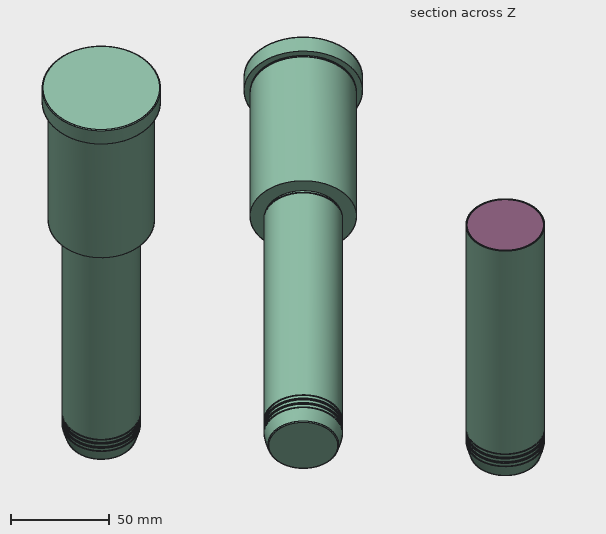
import cadquery as cq

total_length = 251.0
head_diameter = 60.0
head_height = 10.0
body_diameter = 54.0
body_length = 85.3
shank_diameter = 40.0

head_chamfer = 0.5
body_relief_depth = 0.3
body_relief_height = 1.0
shank_relief_depth = 0.5
shank_relief_height = 1.5

groove_count = 3
groove_pitch = 3.0
groove_height = 2.3
groove_depth = 0.5
nose_height = 8.3
nose_end_diameter = 36.0
nose_bulge = 0.3
end_chamfer = 0.5

head_bottom = total_length - head_height
body_bottom = head_bottom - body_length
shank_radius = shank_diameter / 2
nose_end_radius = nose_end_diameter / 2


def cylinder(diameter, bottom, top):
    """Solid cylinder on the Z axis between two heights."""
    return cq.Workplane("XY").workplane(offset=bottom).circle(diameter / 2).extrude(top - bottom)


def ring_cut(diameter, depth, bottom, height):
    """Ring that removes the outer skin of a cylinder to the given depth."""
    outer = cylinder(diameter + 2 * depth, bottom, bottom + height)
    return outer.cut(cylinder(diameter - 2 * depth, bottom, bottom + height))


def make_head():
    """Flange with a broken upper edge."""
    return cylinder(head_diameter, head_bottom, total_length).faces(">Z").chamfer(head_chamfer)


def make_body():
    """Fitting diameter with a shallow relief under the head."""
    relief = ring_cut(body_diameter, body_relief_depth, head_bottom - body_relief_height, body_relief_height)
    return cylinder(body_diameter, body_bottom, head_bottom).cut(relief)


def make_shank():
    """Guide shank with a relief under the body and oil grooves above the nose."""
    shank = cylinder(shank_diameter, nose_height, body_bottom)
    shank = shank.cut(
        ring_cut(shank_diameter, shank_relief_depth, body_bottom - shank_relief_height, shank_relief_height)
    )
    for index in range(groove_count):
        bottom = nose_height + index * groove_pitch
        shank = shank.cut(ring_cut(shank_diameter, groove_depth, bottom, groove_height))
    return shank


def make_nose():
    """Lead-in with a slightly convex flank and a chamfered end."""
    middle_radius = (shank_radius + nose_end_radius) / 2 + nose_bulge
    middle_height = (nose_height + end_chamfer) / 2
    profile = (
        cq.Workplane("XZ")
        .moveTo(0, 0)
        .lineTo(nose_end_radius - end_chamfer, 0)
        .lineTo(nose_end_radius, end_chamfer)
        .threePointArc((middle_radius, middle_height), (shank_radius, nose_height))
        .lineTo(0, nose_height)
        .close()
    )
    return profile.revolve(360, (0, 0, 0), (0, 1, 0))


result = make_head().union(make_body()).union(make_shank()).union(make_nose())